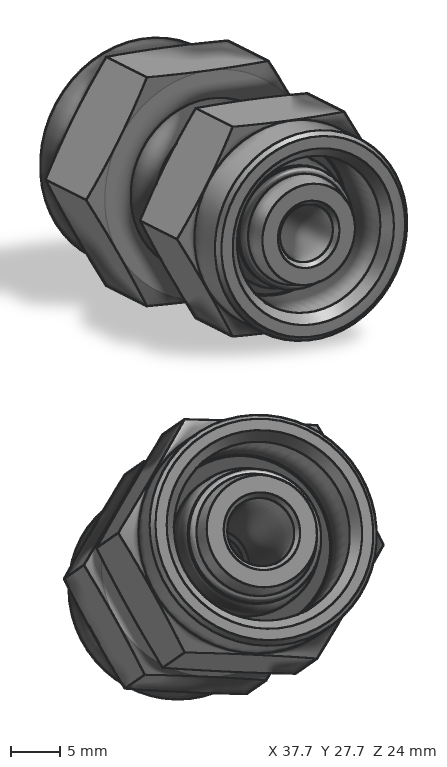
import cadquery as cq
import math

LENGTH = 37.7

LARGE_FLATS = 24.0
LARGE_COLLAR_RADIUS = 11.88
LARGE_HEX_END = 14.95
LARGE_BODY_RADIUS = 9.05
LARGE_BORE_RADIUS = 3.5

SMALL_FLATS = 22.0
SMALL_COLLAR_RADIUS = 10.97
SMALL_HEX_START = 23.65
SMALL_BODY_RADIUS = 8.03
SMALL_BORE_RADIUS = 3.0

HEX_SIDES = 6
COLLAR_LENGTH = 5.0
COLLAR_CHAMFER = 0.5
HEX_CHAMFER_ANGLE = 15.0
SOCKET_CLEARANCE = 0.15
MOUTH_WIDENING = 1.0
MOUTH_DEPTH = 1.0

SOCKET_DEPTH = 8.5
TAPER_START = 20.05
TAPER_LENGTH = 1.0

SPIGOT_INSET = 1.0
TIP_RADIUS = 5.75
NECK_RADIUS = 6.3
BARB_LENGTH = 2.15
BEAD_RADIUS = 0.6
ROOT_RADIUS = 7.45
BORE_CHAMFER = 0.5
BORE_STEP_LENGTH = 0.3


def revolve_about_x(profile):
    return profile.close().revolve(360, (0, 0, 0), (1, 0, 0))


def cylinder(radius, start, end):
    return cq.Workplane("YZ", origin=(start, 0, 0)).circle(radius).extrude(end - start)


def hexagon(flats, start, end):
    """Hexagonal prism with its corners across Y, chamfered by a cone at both ends."""
    flat_radius = flats / 2
    corner_radius = flat_radius / math.cos(math.pi / HEX_SIDES)
    drop = (corner_radius - flat_radius) * math.tan(math.radians(HEX_CHAMFER_ANGLE))
    prism = cq.Workplane("YZ", origin=(start, 0, 0)).polygon(HEX_SIDES, 2 * corner_radius).extrude(end - start)
    envelope = revolve_about_x(
        cq.Workplane("XY")
        .moveTo(start, 0)
        .lineTo(start, flat_radius)
        .lineTo(start + drop, corner_radius)
        .lineTo(end - drop, corner_radius)
        .lineTo(end, flat_radius)
        .lineTo(end, 0)
    )
    return prism.intersect(envelope)


def make_nut(flats, collar_radius, hex_end, body_radius):
    """Nut with its mouth at X = 0 and its hexagon ending at hex_end."""
    collar = cylinder(collar_radius, 0, COLLAR_LENGTH).faces("<X").chamfer(COLLAR_CHAMFER)
    nut = collar.union(hexagon(flats, COLLAR_LENGTH, hex_end))
    socket_radius = body_radius + SOCKET_CLEARANCE
    opening = revolve_about_x(
        cq.Workplane("XY")
        .lineTo(0, socket_radius + MOUTH_WIDENING)
        .lineTo(MOUTH_DEPTH, socket_radius)
        .lineTo(SOCKET_DEPTH, socket_radius)
        .lineTo(SOCKET_DEPTH, body_radius)
        .lineTo(hex_end, body_radius)
        .lineTo(hex_end, 0)
    )
    return nut.cut(opening)


def make_spigot(radius_offset):
    """Solid spigot pointing to -X: a tapered tip barb, a bead, a root barb and a plain root."""
    tip_end = SPIGOT_INSET + BARB_LENGTH
    bead_end = tip_end + 2 * BEAD_RADIUS
    neck_radius = NECK_RADIUS + radius_offset
    bead_top = neck_radius + BEAD_RADIUS
    root_radius = ROOT_RADIUS + radius_offset
    return revolve_about_x(
        cq.Workplane("XY")
        .moveTo(SPIGOT_INSET, 0)
        .lineTo(SPIGOT_INSET, TIP_RADIUS + radius_offset)
        .lineTo(tip_end, neck_radius)
        .threePointArc((tip_end + BEAD_RADIUS, bead_top), (bead_end, neck_radius))
        .lineTo(bead_end, bead_top)
        .lineTo(bead_end + BARB_LENGTH, root_radius)
        .lineTo(SOCKET_DEPTH, root_radius)
        .lineTo(SOCKET_DEPTH, 0)
    )


def swap_ends(part):
    """Mirror a part end for end along X."""
    return part.mirror("YZ").translate((LENGTH, 0, 0))


def make_body():
    taper_end = TAPER_START + TAPER_LENGTH
    barrel = revolve_about_x(
        cq.Workplane("XY")
        .moveTo(SOCKET_DEPTH, 0)
        .lineTo(SOCKET_DEPTH, LARGE_BODY_RADIUS)
        .lineTo(TAPER_START, LARGE_BODY_RADIUS)
        .lineTo(taper_end, SMALL_BODY_RADIUS)
        .lineTo(LENGTH - SOCKET_DEPTH, SMALL_BODY_RADIUS)
        .lineTo(LENGTH - SOCKET_DEPTH, 0)
    )
    large_spigot = make_spigot(0)
    small_spigot = swap_ends(make_spigot(SMALL_BORE_RADIUS - LARGE_BORE_RADIUS))

    near_tip = SPIGOT_INSET
    far_tip = LENGTH - SPIGOT_INSET
    bore = revolve_about_x(
        cq.Workplane("XY")
        .moveTo(near_tip, 0)
        .lineTo(near_tip, LARGE_BORE_RADIUS + BORE_CHAMFER)
        .lineTo(near_tip + BORE_CHAMFER, LARGE_BORE_RADIUS)
        .lineTo(TAPER_START, LARGE_BORE_RADIUS)
        .lineTo(TAPER_START + BORE_STEP_LENGTH, SMALL_BORE_RADIUS)
        .lineTo(far_tip - BORE_CHAMFER, SMALL_BORE_RADIUS)
        .lineTo(far_tip, SMALL_BORE_RADIUS + BORE_CHAMFER)
        .lineTo(far_tip, 0)
    )
    return barrel.union(large_spigot).union(small_spigot).cut(bore)


body = make_body()
large_nut = make_nut(LARGE_FLATS, LARGE_COLLAR_RADIUS, LARGE_HEX_END, LARGE_BODY_RADIUS)
small_nut = swap_ends(make_nut(SMALL_FLATS, SMALL_COLLAR_RADIUS, LENGTH - SMALL_HEX_START, SMALL_BODY_RADIUS))

result = cq.Compound.makeCompound([body.val(), large_nut.val(), small_nut.val()])